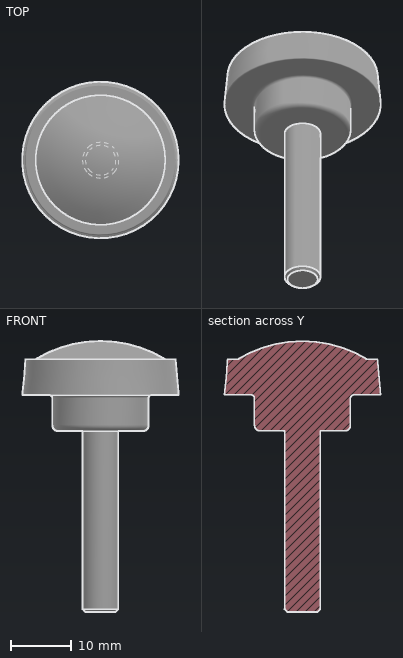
import cadquery as cq
import math

total_height = 45.0
head_radius = 13.0
rim_radius = 12.5
hub_radius = 8.0
shank_diameter = 6.0
dome_radius = 10.75

dome_height = 3.0
head_height = 6.0
hub_height = 6.0

rim_fillet = 0.2
neck_fillet = 0.5
hub_fillet = 1.0
tip_chamfer = 0.5

shank_radius = shank_diameter / 2

dome_base_z = total_height - dome_height
head_base_z = dome_base_z - head_height
hub_base_z = head_base_z - hub_height
side_base_z = head_base_z + rim_fillet
side_top_z = dome_base_z - rim_fillet

sphere_radius = (dome_radius**2 + dome_height**2) / (2 * dome_height)
half_dome_radius = dome_radius / 2
half_dome_z = total_height - sphere_radius + math.sqrt(sphere_radius**2 - half_dome_radius**2)

diagonal = math.sqrt(0.5)


def corner_mid(center_radius, center_z, radius, radial_sign, axial_sign):
    """Middle point of a quarter round about the given centre."""
    offset = radius * diagonal
    return (center_radius + radial_sign * offset, center_z + axial_sign * offset)


profile = (
    cq.Workplane("XZ")
    .moveTo(0, 0)
    .lineTo(shank_radius - tip_chamfer, 0)
    .lineTo(shank_radius, tip_chamfer)
    .lineTo(shank_radius, hub_base_z)
    .lineTo(hub_radius - hub_fillet, hub_base_z)
    .threePointArc(
        corner_mid(hub_radius - hub_fillet, hub_base_z + hub_fillet, hub_fillet, 1, -1),
        (hub_radius, hub_base_z + hub_fillet),
    )
    .lineTo(hub_radius, head_base_z - neck_fillet)
    .threePointArc(
        corner_mid(hub_radius + neck_fillet, head_base_z - neck_fillet, neck_fillet, -1, 1),
        (hub_radius + neck_fillet, head_base_z),
    )
    .lineTo(head_radius - rim_fillet, head_base_z)
    .threePointArc(
        corner_mid(head_radius - rim_fillet, side_base_z, rim_fillet, 1, -1),
        (head_radius, side_base_z),
    )
    .lineTo(rim_radius, side_top_z)
    .threePointArc(
        corner_mid(rim_radius - rim_fillet, side_top_z, rim_fillet, 1, 1),
        (rim_radius - rim_fillet, dome_base_z),
    )
    .lineTo(dome_radius, dome_base_z)
    .threePointArc((half_dome_radius, half_dome_z), (0, total_height))
    .close()
)

result = profile.revolve(360, (0, 0, 0), (0, 1, 0))